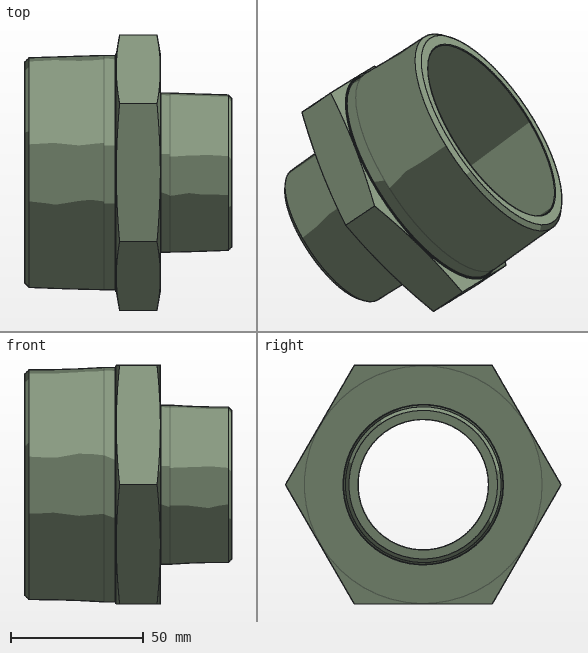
import cadquery as cq
import math

large_taper_end = 29.9
collar_start = 34.3
collar_length = 0.2
hex_end = 51.1
small_taper_start = 54.7
length = 78.0

hex_corners = 103.9
hex_face_diameter = 89.6
hex_bevel_angle = 10.0
hex_start = collar_start + collar_length
hex_width = hex_end - hex_start

root_bevel = 0.2

large_diameter = 88.4
small_diameter = 60.1
radius_taper = 1 / 32
large_bevel = 1.7
small_bevel = 1.4

large_bore = 75.0
small_bore = 49.0
large_bore_depth = 32.6
bore_cone_angle = 45.0
mouth_bevel = 0.3


def revolve_about_x(points):
    """Turn a closed outline of (x, radius) points about the X axis."""
    return cq.Workplane("XY").polyline(points).close().revolve(360, (0, 0, 0), (1, 0, 0))


def threaded_ends():
    """Both tapered ends and the low collar against the hexagon."""
    large_radius = large_diameter / 2
    small_radius = small_diameter / 2
    collar_radius = hex_face_diameter / 2
    small_taper_end = length - small_bevel
    large_tip = large_radius - radius_taper * (large_taper_end - large_bevel)
    small_tip = small_radius - radius_taper * (small_taper_end - small_taper_start)
    return revolve_about_x([
        (0, 0),
        (0, large_tip - large_bevel),
        (large_bevel, large_tip),
        (large_taper_end, large_radius),
        (collar_start - root_bevel, large_radius),
        (collar_start, large_radius + root_bevel),
        (collar_start, collar_radius),
        (hex_start, collar_radius),
        (hex_end, small_radius + root_bevel),
        (hex_end + root_bevel, small_radius),
        (small_taper_start, small_radius),
        (small_taper_end, small_tip),
        (length, small_tip - small_bevel),
        (length, 0),
    ])


def hexagon():
    """Hexagonal wrench section, trimmed by a cone on each face."""
    face_radius = hex_face_diameter / 2
    corner_radius = hex_corners / 2
    bevel_length = (corner_radius - face_radius) * math.tan(math.radians(hex_bevel_angle))
    envelope = revolve_about_x([
        (hex_start, 0),
        (hex_start, face_radius),
        (hex_start + bevel_length, corner_radius),
        (hex_end - bevel_length, corner_radius),
        (hex_end, face_radius),
        (hex_end, 0),
    ])
    prism = cq.Workplane("YZ").workplane(offset=hex_start).polygon(6, hex_corners).extrude(hex_width)
    return prism.intersect(envelope)


def bore():
    """Material removed along the axis."""
    large_radius = large_bore / 2
    small_radius = small_bore / 2
    cone_length = (large_radius - small_radius) / math.tan(math.radians(bore_cone_angle))
    return revolve_about_x([
        (0, 0),
        (0, large_radius + mouth_bevel),
        (mouth_bevel, large_radius),
        (large_bore_depth, large_radius),
        (large_bore_depth + cone_length, small_radius),
        (length, small_radius),
        (length, 0),
    ])


body = threaded_ends().union(hexagon()).cut(bore())
result = body.translate((-length / 2, 0, 0))